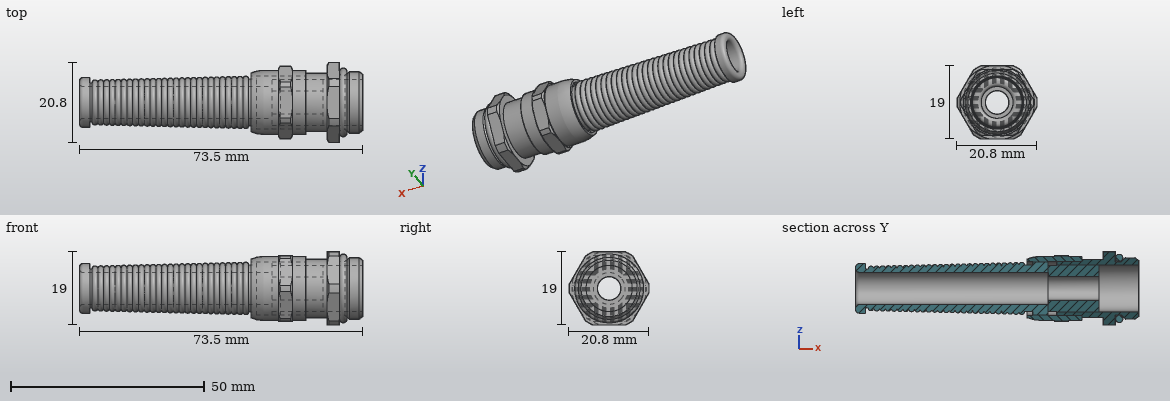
import cadquery as cq
import math


sleeve_bore_d = 8.2
head_d = 13.0
head_length = 2.7
head_front_radius = 1.0
head_back_radius = 0.2
core_front_d = 10.1
core_back_d = 12.2
ring_count = 27
first_ring_x = 4.05
last_ring_x = 43.1
ring_pitch = (last_ring_x - first_ring_x) / (ring_count - 1)
ring_radius = ring_pitch / 2
collar_start_x = 45.9
collar_end_x = 49.95

nut_start_x = 44.4
nut_barrel_x = 47.7
nut_end_x = 58.75
nut_front_d = 15.2
nut_barrel_d = 16.7
nut_bore_d = 13.8
nut_end_chamfer = 0.15
nut_hex_start_x = 51.55
nut_hex_end_x = 55.15
nut_hex_flats = 17.05
nut_hex_corners_d = 18.9

spigot_start_x = 52.15
body_neck_d = 15.2
body_bore_d = 12.0
body_hex_start_x = 64.2
body_hex_end_x = 67.35
body_hex_flats = 19.0
body_hex_corners_d = 20.8
thread_d = 16.0
thread_end_d = 14.55
thread_start_x = 69.9
thread_end_chamfer = 1.0
body_end_x = 73.45
groove_d = 13.9

hex_sides = 6
hex_chamfer_angle = math.radians(30)
hex_chamfer_depth = 0.7

o_ring_section_d = 2.0

seal_hole_d = 6.0
seal_end_x = 63.15


def revolve_about_x(profile):
    """Turn a closed X-radius profile about the X axis."""
    return profile.close().revolve(360, (0, 0, 0), (1, 0, 0))


def rod(start_x, end_x, diameter):
    return cq.Workplane("YZ", origin=(start_x, 0, 0)).circle(diameter / 2).extrude(end_x - start_x)


def turned_hexagon(start_x, end_x, flats, corners_d, chamfer_back):
    """Hexagon with flats facing +Z and -Z, its corners turned down and chamfered."""
    length = end_x - start_x
    hexagon = (
        cq.Workplane("YZ", origin=(start_x, 0, 0))
        .polygon(hex_sides, flats / math.cos(math.pi / hex_sides))
        .extrude(length)
    )
    chamfer_length = hex_chamfer_depth * math.tan(hex_chamfer_angle)
    envelope = rod(start_x, end_x, corners_d)
    envelope = envelope.faces("<X").chamfer(chamfer_length, hex_chamfer_depth)
    if chamfer_back:
        envelope = envelope.faces(">X").chamfer(chamfer_length, hex_chamfer_depth)
    return hexagon.intersect(envelope)


def core_radius(x):
    """Radius of the tapered sleeve core at a given X."""
    share = (x - head_length) / (nut_start_x - head_length)
    return (core_front_d + share * (core_back_d - core_front_d)) / 2


def make_sleeve():
    bore_r = sleeve_bore_d / 2
    head_r = head_d / 2
    diagonal = 1 - math.sqrt(0.5)
    front_bend = head_front_radius * diagonal
    back_bend = head_back_radius * diagonal

    profile = (
        cq.Workplane("XY")
        .moveTo(head_front_radius, bore_r)
        .threePointArc((front_bend, bore_r + front_bend), (0, bore_r + head_front_radius))
        .lineTo(0, head_r - head_front_radius)
        .threePointArc((front_bend, head_r - front_bend), (head_front_radius, head_r))
        .lineTo(head_length - head_back_radius, head_r)
        .threePointArc((head_length - back_bend, head_r - back_bend),
                       (head_length, head_r - head_back_radius))
        .lineTo(head_length, core_radius(head_length))
    )

    profile = profile.lineTo(first_ring_x - ring_radius, core_radius(first_ring_x - ring_radius))
    for index in range(ring_count):
        center_x = first_ring_x + index * ring_pitch
        end_x = center_x + ring_radius
        profile = profile.threePointArc(
            (center_x, core_radius(center_x) + ring_radius), (end_x, core_radius(end_x))
        )

    profile = (
        profile.lineTo(nut_start_x, core_back_d / 2)
        .lineTo(collar_start_x, core_back_d / 2)
        .lineTo(collar_start_x, nut_bore_d / 2)
        .lineTo(collar_end_x, nut_bore_d / 2)
        .lineTo(collar_end_x, bore_r)
    )
    return revolve_about_x(profile)


def make_nut():
    front_r = nut_front_d / 2
    barrel_r = nut_barrel_d / 2
    dome = (
        cq.Workplane("XY")
        .moveTo(nut_end_x, barrel_r - nut_end_chamfer)
        .lineTo(nut_end_x - nut_end_chamfer, barrel_r)
        .lineTo(nut_barrel_x, barrel_r)
        .tangentArcPoint((nut_start_x, front_r), relative=False)
        .lineTo(nut_start_x, 0)
        .lineTo(nut_end_x, 0)
    )
    hexagon = turned_hexagon(
        nut_hex_start_x, nut_hex_end_x, nut_hex_flats, nut_hex_corners_d, chamfer_back=True
    )
    return revolve_about_x(dome).union(hexagon).cut(rod(nut_start_x, nut_end_x, nut_bore_d))


def make_body():
    thread_r = thread_d / 2
    groove_depth = thread_r - groove_d / 2
    profile = (
        cq.Workplane("XY")
        .moveTo(spigot_start_x, 0)
        .lineTo(spigot_start_x, nut_bore_d / 2)
        .lineTo(nut_end_x, nut_bore_d / 2)
        .lineTo(nut_end_x, body_neck_d / 2)
        .lineTo(body_hex_end_x, body_neck_d / 2)
        .lineTo(body_hex_end_x, groove_d / 2)
        .lineTo(thread_start_x - groove_depth, groove_d / 2)
        .lineTo(thread_start_x, thread_r)
        .lineTo(body_end_x - thread_end_chamfer, thread_r)
        .lineTo(body_end_x, thread_end_d / 2)
        .lineTo(body_end_x, 0)
    )
    hexagon = turned_hexagon(
        body_hex_start_x, body_hex_end_x, body_hex_flats, body_hex_corners_d, chamfer_back=False
    )
    return revolve_about_x(profile).union(hexagon).cut(rod(spigot_start_x, body_end_x, body_bore_d))


def make_o_ring():
    section_r = o_ring_section_d / 2
    section = (
        cq.Workplane("XY")
        .moveTo(body_hex_end_x + section_r, groove_d / 2 + section_r)
        .circle(section_r)
    )
    return section.revolve(360, (0, 0, 0), (1, 0, 0))


def make_seal():
    plug = rod(collar_end_x, seal_end_x, body_bore_d)
    return plug.cut(rod(collar_end_x, seal_end_x, seal_hole_d))


sleeve = make_sleeve()
nut = make_nut()
body = make_body()
o_ring = make_o_ring()
seal = make_seal()

result = cq.Compound.makeCompound([sleeve.val(), nut.val(), body.val(), o_ring.val(), seal.val()])